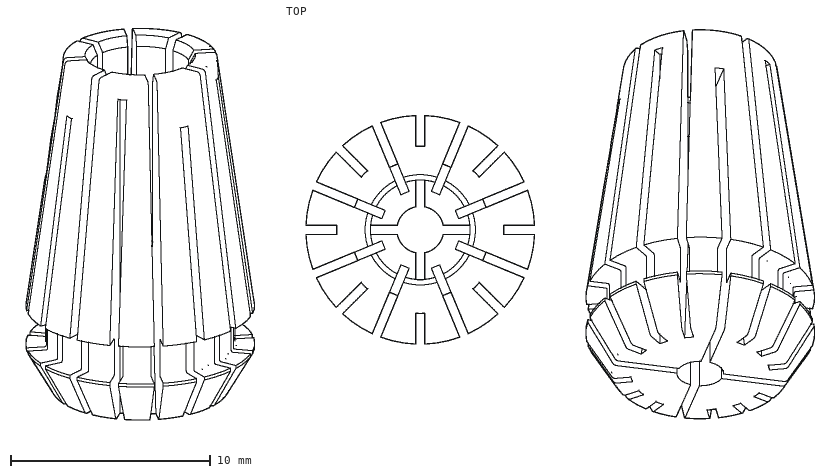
import cadquery as cq
import math

total_height = 18.0
nose_cone_height = 2.34
flange_top = 2.5
taper_bottom = 4.5
seat_height = 8.5

body_diameter = 11.5
body_radius = body_diameter / 2
groove_radius = 4.75
taper_angle = math.radians(8)
nose_angle = math.radians(30)

bore_radius = 1.17
bore_fillet = 0.2
counterbore_radius = 2.5
counterbore_fillet = 0.4
mouth_radius = 2.77
mouth_depth = 0.5

top_fillet = 0.2
groove_fillet = 0.09
nose_fillet = 0.23
select_margin = 0.002

slot_width = 0.45
quarter_slot_count = 4
open_slot_count = 8
through_slot_top = 15.5
blind_slot_top = 17.08
slot_floor_radius = 3.5
open_slot_inner_radius = 2.0
cutter_reach = body_diameter

taper_top_radius = body_radius - (total_height - taper_bottom) * math.tan(taper_angle)
nose_radius = body_radius - nose_cone_height * math.tan(nose_angle)


def ring_edge(radius, height):
    """Select the circular edges passing through the given radius and height."""
    return cq.selectors.BoxSelector(
        (-radius - select_margin, -radius - select_margin, height - select_margin),
        (radius + select_margin, radius + select_margin, height + select_margin),
        boundingbox=True,
    )


def make_body():
    """Solid of revolution: nose cone, flange, groove and long taper."""
    outline = [
        (0, 0),
        (nose_radius, 0),
        (body_radius, nose_cone_height),
        (body_radius, flange_top),
        (groove_radius, flange_top),
        (groove_radius, taper_bottom),
        (body_radius, taper_bottom),
        (taper_top_radius, total_height),
        (0, total_height),
    ]
    body = cq.Workplane("XZ").polyline(outline).close().revolve(360, (0, 0), (0, 1))
    body = body.edges(ring_edge(taper_top_radius, total_height)).fillet(top_fillet)
    body = body.edges(ring_edge(nose_radius, 0)).fillet(nose_fillet)
    for height in (flange_top, taper_bottom):
        body = body.edges(ring_edge(groove_radius, height)).fillet(groove_fillet)
    return body


def make_bore():
    """Narrow gripping bore below a wide counterbore with a conical mouth."""
    corner = counterbore_fillet * math.sqrt(0.5)
    fillet_radius_center = counterbore_radius - counterbore_fillet
    fillet_height_center = seat_height + counterbore_fillet
    rim_corner = bore_fillet * math.sqrt(0.5)
    rim_radius_center = bore_radius + bore_fillet
    rim_height_center = seat_height - bore_fillet
    return (
        cq.Workplane("XZ")
        .moveTo(0, 0)
        .lineTo(bore_radius, 0)
        .lineTo(bore_radius, seat_height - bore_fillet)
        .threePointArc(
            (rim_radius_center - rim_corner, rim_height_center + rim_corner),
            (rim_radius_center, seat_height),
        )
        .lineTo(fillet_radius_center, seat_height)
        .threePointArc(
            (fillet_radius_center + corner, fillet_height_center - corner),
            (counterbore_radius, fillet_height_center),
        )
        .lineTo(counterbore_radius, total_height - mouth_depth)
        .lineTo(mouth_radius, total_height)
        .lineTo(0, total_height)
        .close()
        .revolve(360, (0, 0), (0, 1))
    )


def make_slot(outline):
    """Thin radial cutter along +X from an outline in radius and height."""
    return cq.Workplane("XZ").polyline(outline).close().extrude(slot_width / 2, both=True)


def cut_around(part, cutter, count, first_angle):
    """Cut evenly spaced copies of the cutter around the Z axis."""
    for index in range(count):
        angle = first_angle + index * 360 / count
        part = part.cut(cutter.rotate((0, 0, 0), (0, 0, 1), angle))
    return part


through_slot = make_slot([
    (0, 0),
    (cutter_reach, 0),
    (cutter_reach, through_slot_top),
    (0, through_slot_top),
])

blind_slot = make_slot([
    (slot_floor_radius, 0),
    (cutter_reach, 0),
    (cutter_reach, blind_slot_top),
    (slot_floor_radius, blind_slot_top),
])

open_slot = make_slot([
    (slot_floor_radius, 0),
    (cutter_reach, 0),
    (cutter_reach, total_height),
    (0, total_height),
    (0, seat_height),
    (open_slot_inner_radius, seat_height),
])

slot_pitch = 360 / (2 * open_slot_count)

result = make_body().cut(make_bore())
result = cut_around(result, through_slot, quarter_slot_count, 0)
result = cut_around(result, blind_slot, quarter_slot_count, 2 * slot_pitch)
result = cut_around(result, open_slot, open_slot_count, slot_pitch)